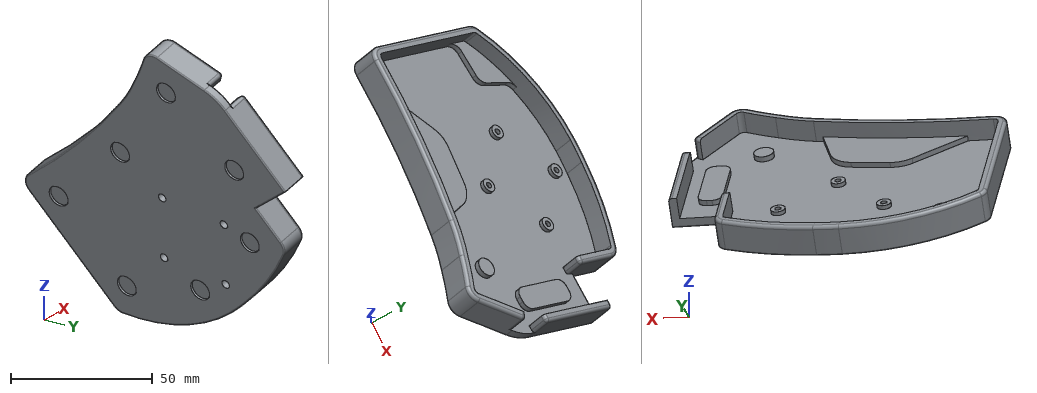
import cadquery as cq
import math

TILT_ANGLE = -45

HEIGHT = 11.5
FLOOR_THICKNESS = 3.5
WALL_THICKNESS = 3.0
CORNER_RADIUS = 5.0
RIM_RADIUS = 1.3
BASE_RADIUS = 0.5

RIGHT_X = 57.7
LEFT_X = -RIGHT_X
LEFT_CORNER_REAR = (LEFT_X, 27.6)
LEFT_CORNER_FRONT = (LEFT_X, -30.9)
CREST_LEFT = (-7.3, 47.8)
CREST_RIGHT = (2.1, 47.2)
REAR_LEFT_ARC_RADIUS = 71.3
CREST_ARC_RADIUS = 115.4
REAR_RIGHT_ARC_RADIUS = 106.5
NOTCH_X = 39.0
NOTCH_Y = 19.3
NOTCH_CORNER_REAR = (NOTCH_X, 37.5)
FLANK_TOP_Y = -22.0
FLANK_CORNER_RADIUS = 20.0
FLANK_ANGLE = math.radians(30)
NOSE_X = 42.0
NOSE = (NOSE_X, FLANK_TOP_Y - (RIGHT_X - NOSE_X) / math.tan(FLANK_ANGLE))
FRONT_BENDS = [(26.0, -41.6), (12.2, -37.2)]
FRONT_BEND_RADII = [115.4, 69.3]
FRONT_LONG_ARC_RADIUS = 290.9

NOTCH_WALL_END_Y = NOTCH_Y - WALL_THICKNESS
INNER_RIGHT_X = RIGHT_X - WALL_THICKNESS
FLANK_ARC_CENTER = (
    RIGHT_X - FLANK_CORNER_RADIUS,
    FLANK_TOP_Y + FLANK_CORNER_RADIUS * math.tan(FLANK_ANGLE / 2),
)

POST_CENTER = (0.2, 18.8)
POST_SPREAD = 19.0
POST_DIAMETER = 5.2
POST_HEIGHT = 1.5
POST_HOLE_DIAMETER = 2.2
FLOOR_HOLE_DIAMETER = 3.2

FOOT_DIAMETER = 8.2
FOOT_DEPTH = 0.9
FOOT_CENTERS = [
    (-46.2, -18.7),
    (-3.7, -21.8),
    (36.8, -32.4),
    (42.0, 3.6),
    (25.0, 29.0),
    (-13.3, 35.2),
    (-45.1, 21.2),
]

PAD_HEIGHT = 2.0
ROUND_PAD_CENTER = (30.2, -24.5)
ROUND_PAD_DIAMETER = 7.2
LONG_PAD_CENTER = (45.0, -2.7)
LONG_PAD_WIDTH = 8.9
LONG_PAD_LENGTH = 26.2
LONG_PAD_RADIUS = 3.5

CORNER_PAD_INNER = (-37.9, 23.0)
CORNER_PAD_LEFT_Y = 21.7
CORNER_PAD_RIGHT_X = -34.3
CORNER_PAD_RADIUS = 3.9

FRONT_PAD_LEFT = (-43.3, -28.4)
FRONT_PAD_SHOULDER_LEFT = (-21.4, -10.3)
FRONT_PAD_SHOULDER_RIGHT = (3.6, -13.5)
FRONT_PAD_RIGHT = (10.4, -34.3)
FRONT_PAD_RADIUS = 10.0


def edge_at(x, y):
    """Selects the edges whose middle lies above or below the point (x, y)."""
    reach = 0.1
    return cq.selectors.BoxSelector(
        (x - reach, y - reach, -HEIGHT), (x + reach, y + reach, 2 * HEIGHT)
    )


def outline_block():
    """Solid block with the full outline of the tray."""
    block = (
        cq.Workplane("XY")
        .moveTo(*LEFT_CORNER_REAR)
        .radiusArc(CREST_LEFT, REAR_LEFT_ARC_RADIUS)
        .radiusArc(CREST_RIGHT, CREST_ARC_RADIUS)
        .radiusArc(NOTCH_CORNER_REAR, REAR_RIGHT_ARC_RADIUS)
        .lineTo(NOTCH_X, NOTCH_Y)
        .lineTo(RIGHT_X, NOTCH_Y)
        .lineTo(RIGHT_X, FLANK_TOP_Y)
        .lineTo(*NOSE)
    )
    for bend, radius in zip(FRONT_BENDS, FRONT_BEND_RADII):
        block = block.radiusArc(bend, -radius)
    block = block.radiusArc(LEFT_CORNER_FRONT, -FRONT_LONG_ARC_RADIUS).close().extrude(HEIGHT)
    for corner in (LEFT_CORNER_REAR, NOTCH_CORNER_REAR, NOSE, LEFT_CORNER_FRONT):
        block = block.edges(edge_at(*corner)).fillet(CORNER_RADIUS)
    return block.edges(edge_at(RIGHT_X, FLANK_TOP_Y)).fillet(FLANK_CORNER_RADIUS)


def box_between(x_range, y_range):
    """Full-height box that spans two ranges in plan."""
    (x0, x1), (y0, y1) = x_range, y_range
    return cq.Workplane("XY").box(x1 - x0, y1 - y0, HEIGHT, centered=False).translate((x0, y0, 0))


def cavity_block(block):
    """Full-height solid inside the wall."""
    inner_wire = block.faces("<Z").wires().val().offset2D(-WALL_THICKNESS, "intersection")[0]
    return cq.Workplane("XY").add(inner_wire).toPending().extrude(HEIGHT)


def flank_point(radii, turn):
    """Point at a number of radii from the flank arc center, turned by a share of the arc's angle."""
    angle = -FLANK_ANGLE * turn
    reach = radii * FLANK_CORNER_RADIUS
    center_x, center_y = FLANK_ARC_CENTER
    return center_x + reach * math.cos(angle), center_y + reach * math.sin(angle)


def walls(block, cavity):
    """Wall with its two openings, rounded along the outside of the rim and at its ends."""
    notch_gap = box_between((NOTCH_X, INNER_RIGHT_X), (NOTCH_WALL_END_Y, NOTCH_Y))
    flank_gap = cq.Workplane("XY").polyline([FLANK_ARC_CENTER, flank_point(2, 0), flank_point(2, 1)])
    flank_gap = flank_gap.close().extrude(HEIGHT)
    wall = block.cut(cavity).cut(notch_gap).cut(flank_gap)

    clearance = WALL_THICKNESS / 10
    rounded = [
        edge
        for edge in wall.faces(">Z").edges().vals()
        if not (edge.Center().x > INNER_RIGHT_X and edge.Center().y > NOTCH_Y - clearance)
        and cavity.val().distance(cq.Vertex.makeVertex(*edge.positionAt(0.5).toTuple())) > clearance
    ]
    for end in ((NOTCH_X, NOTCH_WALL_END_Y), flank_point(1, 0), flank_point(1, 1)):
        rounded += wall.edges("|Z").edges(edge_at(*end)).vals()
    notch_end_middle = (NOTCH_X - WALL_THICKNESS / 2, NOTCH_WALL_END_Y)
    rounded += wall.faces(">Z").edges(edge_at(*notch_end_middle)).vals()
    return wall.newObject(rounded).fillet(RIM_RADIUS)


def disc(center, diameter, height, base=0.0):
    return cq.Workplane("XY", origin=(*center, base)).circle(diameter / 2).extrude(height)


def floor_pad(points):
    """Straight-sided pad standing on the floor."""
    return cq.Workplane("XY", origin=(0, 0, FLOOR_THICKNESS)).polyline(points).close().extrude(PAD_HEIGHT)


def long_pad():
    pad = cq.Workplane("XY", origin=(*LONG_PAD_CENTER, FLOOR_THICKNESS))
    return pad.rect(LONG_PAD_WIDTH, LONG_PAD_LENGTH).extrude(PAD_HEIGHT).edges("|Z").fillet(LONG_PAD_RADIUS)


def corner_pad(cavity):
    """Sharp-edged pad filling the rear left corner."""
    top_y = CREST_LEFT[1]
    pad = floor_pad(
        [
            (LEFT_X, CORNER_PAD_LEFT_Y),
            CORNER_PAD_INNER,
            (CORNER_PAD_RIGHT_X, top_y),
            (LEFT_X, top_y),
        ]
    )
    return pad.intersect(cavity)


def round_corner_pad(tray):
    """Rounds the free corner of the corner pad and flares its sides into the walls."""
    pad_top = FLOOR_THICKNESS + PAD_HEIGHT
    upright_edges = cq.selectors.BoxSelector(
        (LEFT_X, CORNER_PAD_LEFT_Y - CORNER_PAD_RADIUS, FLOOR_THICKNESS / 2),
        (CORNER_PAD_RIGHT_X + CORNER_PAD_RADIUS, CREST_LEFT[1], pad_top + RIM_RADIUS),
        boundingbox=True,
    )
    return tray.edges("|Z").edges(upright_edges).fillet(CORNER_PAD_RADIUS)


def front_pad(cavity):
    """Pad with two rounded shoulders against the front wall."""
    shoulders = (FRONT_PAD_SHOULDER_LEFT, FRONT_PAD_SHOULDER_RIGHT)
    pad = floor_pad([FRONT_PAD_LEFT, *shoulders, FRONT_PAD_RIGHT])
    for shoulder in shoulders:
        pad = pad.edges(edge_at(*shoulder)).fillet(FRONT_PAD_RADIUS)
    return pad.intersect(cavity)


block = outline_block()
cavity = cavity_block(block)
floor_slab = box_between((LEFT_X, RIGHT_X), (LEFT_X, RIGHT_X)).translate((0, 0, FLOOR_THICKNESS - HEIGHT))
floor = block.intersect(floor_slab)
tray = floor.union(walls(block, cavity))
tray = tray.faces("<Z").edges().fillet(BASE_RADIUS)

tray = tray.union(disc(ROUND_PAD_CENTER, ROUND_PAD_DIAMETER, PAD_HEIGHT, FLOOR_THICKNESS))
tray = tray.union(long_pad()).union(corner_pad(cavity)).union(front_pad(cavity))
tray = round_corner_pad(tray)

for step_x, step_y in ((1, 0), (0, 1), (-1, 0), (0, -1)):
    center = (POST_CENTER[0] + step_x * POST_SPREAD, POST_CENTER[1] + step_y * POST_SPREAD)
    tray = tray.union(disc(center, POST_DIAMETER, POST_HEIGHT, FLOOR_THICKNESS))
    tray = tray.cut(disc(center, POST_HOLE_DIAMETER, HEIGHT))
    tray = tray.cut(disc(center, FLOOR_HOLE_DIAMETER, FLOOR_THICKNESS))

for center in FOOT_CENTERS:
    tray = tray.cut(disc(center, FOOT_DIAMETER, FOOT_DEPTH))

result = tray.rotate((0, 0, 0), (1, 0, 0), TILT_ANGLE)